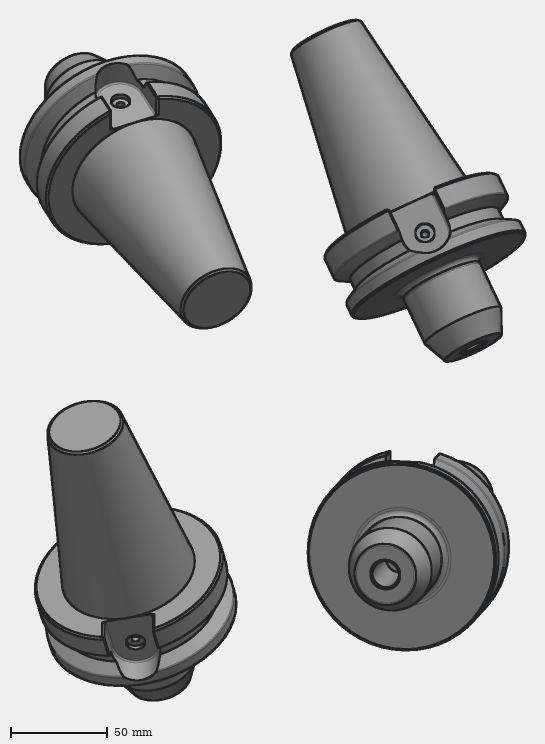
import cadquery as cq
import math

total_length = 181.8

tip_diameter = 32.7
tip_bevel_width = 1.0
tip_bevel_length = 0.2
nose_diameter = 44.0
nose_cone_length = 12.7
bore_diameter = 14.0
bore_depth = 36.4
bore_chamfer = 0.9

relief_diameter = 43.8
relief_start_gap = 4.0
relief_lead_length = 1.3
root_fillet = 2.9
relief_face_width = 1.5

flange_start = 42.0
flange_width = 35.0
flange_diameter = 100.0
flange_edge = 0.9
collar_edge = 1.0
groove_floor_diameter = 85.5
groove_floor_start = 11.5
groove_floor_width = 6.7
groove_flank_angle = 30.0
groove_lip_round = 0.9
groove_lip_search = 0.2

taper_ratio = 7 / 24
taper_large_diameter = 70.7
taper_end_chamfer = 1.0

keyway_width = 25.6
keyway_floor_height = 35.5
keyway_centre_from_face = 16.7
keyway_floor_fillet = 0.9
keyway_top_edge = 0.5

recess_diameter = 10.0
recess_depth = 2.7
pin_hole_diameter = 4.0
pin_hole_depth = 3.6
drill_point_angle = 118.0

flange_radius = flange_diameter / 2
nose_radius = nose_diameter / 2
relief_radius = relief_diameter / 2
relief_depth = nose_radius - relief_radius
flange_end = flange_start + flange_width
groove_floor_radius = groove_floor_diameter / 2
groove_front = flange_start + groove_floor_start
groove_back = groove_front + groove_floor_width
groove_flank_run = (flange_radius - groove_floor_radius) * math.tan(math.radians(groove_flank_angle))
taper_large_radius = taper_large_diameter / 2
taper_small_radius = taper_large_radius - (total_length - flange_end) * taper_ratio / 2


def revolve_about_x(outline):
    return outline.close().revolve(360, (0, 0, 0), (1, 0, 0))


def make_nose():
    """Coned nose, ending in a shallow relief and a root fillet sunk into the flange face."""
    relief_start = flange_start - relief_start_gap
    relief_floor_start = relief_start + relief_lead_length
    root_end = flange_start + relief_depth
    fillet_start = root_end - root_fillet
    fillet_top = relief_radius + root_fillet
    arc_offset = root_fillet * math.sqrt(0.5)
    fillet_middle = (fillet_start + arc_offset, fillet_top - arc_offset)
    outline = (
        cq.Workplane("XY")
        .lineTo(0, tip_diameter / 2 - tip_bevel_width)
        .lineTo(tip_bevel_length, tip_diameter / 2)
        .lineTo(nose_cone_length, nose_radius)
        .lineTo(relief_start, nose_radius)
        .lineTo(relief_floor_start, relief_radius)
        .lineTo(fillet_start, relief_radius)
        .threePointArc(fillet_middle, (root_end, fillet_top))
        .lineTo(root_end, 0)
    )
    return revolve_about_x(outline)


def make_flange():
    """Flange disc with a trapezoidal groove and a shallow cone-edged recess around the nose root."""
    root_top = relief_radius + root_fillet
    outline = (
        cq.Workplane("XY")
        .moveTo(flange_start + relief_depth, 0)
        .lineTo(flange_start + relief_depth, root_top)
        .lineTo(flange_start, root_top + relief_face_width)
        .lineTo(flange_start, flange_radius - flange_edge)
        .lineTo(flange_start + flange_edge, flange_radius)
        .lineTo(groove_front - groove_flank_run, flange_radius)
        .lineTo(groove_front, groove_floor_radius)
        .lineTo(groove_back, groove_floor_radius)
        .lineTo(groove_back + groove_flank_run, flange_radius)
        .lineTo(flange_end, flange_radius)
        .lineTo(flange_end, 0)
    )
    return revolve_about_x(outline)


def make_taper():
    chamfer_start_radius = taper_small_radius + taper_end_chamfer * taper_ratio / 2
    outline = (
        cq.Workplane("XY")
        .moveTo(flange_end, 0)
        .lineTo(flange_end, taper_large_radius)
        .lineTo(total_length - taper_end_chamfer, chamfer_start_radius)
        .lineTo(total_length, taper_small_radius - taper_end_chamfer)
        .lineTo(total_length, 0)
    )
    return revolve_about_x(outline)


def make_keyway_cutter():
    """Round-nosed slot open toward the taper, on the +Z side."""
    half_width = keyway_width / 2
    centre = flange_start + keyway_centre_from_face
    return (
        cq.Workplane("XY", origin=(0, 0, keyway_floor_height))
        .moveTo(centre, half_width)
        .threePointArc((centre - half_width, 0), (centre, -half_width))
        .lineTo(total_length, -half_width)
        .lineTo(total_length, half_width)
        .close()
        .extrude(flange_radius)
    )


def make_keyway_hole():
    """Recess and drilled hole sunk into the keyway floor, mid-width of the flange, on the +Z side."""
    recess_floor = keyway_floor_height - recess_depth
    hole_floor = recess_floor - pin_hole_depth
    pin_hole_radius = pin_hole_diameter / 2
    drill_point = pin_hole_radius / math.tan(math.radians(drill_point_angle / 2))
    return (
        cq.Workplane("XZ")
        .moveTo(0, hole_floor - drill_point)
        .lineTo(pin_hole_radius, hole_floor)
        .lineTo(pin_hole_radius, recess_floor)
        .lineTo(recess_diameter / 2, recess_floor)
        .lineTo(recess_diameter / 2, keyway_floor_height + recess_depth)
        .lineTo(0, keyway_floor_height + recess_depth)
        .close()
        .revolve(360, (0, 0, 0), (0, 1, 0))
        .translate((flange_start + flange_width / 2, 0, 0))
    )


def make_bore():
    """Blind bore from the nose tip, with a chamfered mouth."""
    bore_radius = bore_diameter / 2
    outline = (
        cq.Workplane("XY")
        .lineTo(0, bore_radius + bore_chamfer)
        .lineTo(bore_chamfer, bore_radius)
        .lineTo(bore_depth, bore_radius)
        .lineTo(bore_depth, 0)
    )
    return revolve_about_x(outline)


def both_sides(cutter):
    return cutter.union(cutter.rotate((0, 0, 0), (1, 0, 0), 180))


def make_slotted_flange():
    """Flange with both keyways, edges broken on the taper-side collar, and rounded groove lips."""
    flange = make_flange().cut(both_sides(make_keyway_cutter()))
    flange = flange.faces(">X").edges("%CIRCLE or |Z").chamfer(collar_edge)
    flange = flange.edges("|X").edges(">Z or <Z").chamfer(keyway_top_edge)
    for side in (1, -1):
        floor_point = (flange_end, 0, side * keyway_floor_height)
        floor = flange.faces(cq.selectors.NearestToPointSelector(floor_point))
        flange = floor.edges("not >X").fillet(keyway_floor_fillet)
    for lip in (groove_front - groove_flank_run, groove_back + groove_flank_run):
        lip_zone = cq.selectors.BoxSelector(
            (lip - groove_lip_search, -flange_diameter, -flange_diameter),
            (lip + groove_lip_search, flange_diameter, flange_diameter),
            boundingbox=True,
        )
        flange = flange.edges("%CIRCLE").edges(lip_zone).fillet(groove_lip_round)
    return flange


body = make_nose().union(make_slotted_flange()).union(make_taper())
result = body.cut(both_sides(make_keyway_hole())).cut(make_bore())